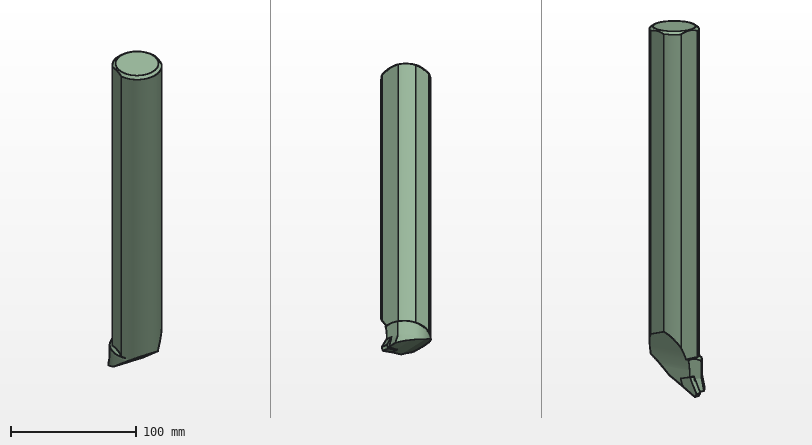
import cadquery as cq
import math


TOTAL_LENGTH = 301.2
SHANK_RADIUS = 20.0
SIDE_FLAT = 17.8
Y_FLAT = 18.5
END_CHAMFER_WIDTH = 2.7
END_CHAMFER_HEIGHT = 2.0

HEAD_RADIUS = 21.5
HEAD_OFFSET = -1.8
HEAD_SIDE_FLAT = -20.2
HEAD_TOP = 30.0
HEAD_CHAMFER = 2.7
HEAD_TAPER_WIDTH = 0.45
HEAD_TAPER_HEIGHT = 1.8
NOSE_TOP = 13.0
NOSE_LEAN = 0.3

RAKE_ANGLE = 10.0
RAKE_Y = 5.5
SCOOP_START = 29.2
SCOOP_ANGLE = 30.0
SCOOP_BLEND = 30.0

INSERT_THICKNESS = 5.0
TIP_REACH = 27.0
TIP_HEIGHT = 2.7
INSERT_TOP = (-20.8, 15.7)
INSERT_BOTTOM = (-26.0, 0.0)
INSERT_INNER_BOTTOM = (-13.5, 7.0)
INSERT_INNER_TOP = (-11.5, 13.3)

UNDERSIDE = [(-27.0, 1.0), (-13.0, 7.2), (0.0, 14.2), (12.0, 24.7), (SHANK_RADIUS, 31.5)]

CLEARANCE = 30.0

turn = math.radians(RAKE_ANGLE)
rake_plane = cq.Plane(
    origin=(0, RAKE_Y, 0),
    xDir=(math.cos(turn), math.sin(turn), 0),
    normal=(math.sin(turn), -math.cos(turn), 0),
)


def make_shank():
    end_radius = SHANK_RADIUS - END_CHAMFER_WIDTH
    bar = (
        cq.Workplane("XZ")
        .moveTo(0, 0)
        .lineTo(SHANK_RADIUS, 0)
        .lineTo(SHANK_RADIUS, TOTAL_LENGTH - END_CHAMFER_HEIGHT)
        .lineTo(end_radius, TOTAL_LENGTH)
        .lineTo(0, TOTAL_LENGTH)
        .close()
        .revolve(360, (0, 0, 0), (0, 1, 0))
    )
    envelope = (
        cq.Workplane("XY")
        .center((SHANK_RADIUS - SIDE_FLAT) / 2, 0)
        .rect(SHANK_RADIUS + SIDE_FLAT, 2 * Y_FLAT)
        .extrude(TOTAL_LENGTH)
    )
    return bar.intersect(envelope)


def head_outline():
    half_chord = math.sqrt(HEAD_RADIUS**2 - (HEAD_SIDE_FLAT - HEAD_OFFSET) ** 2)
    return (
        cq.Workplane("XY", origin=(0, 0, NOSE_TOP))
        .moveTo(HEAD_SIDE_FLAT, -half_chord)
        .threePointArc((HEAD_OFFSET + HEAD_RADIUS, 0), (HEAD_SIDE_FLAT, half_chord))
        .close()
    )


def make_collar():
    taper_radius = HEAD_RADIUS - HEAD_TAPER_WIDTH
    chamfer_z = HEAD_TOP - HEAD_CHAMFER
    turned = (
        cq.Workplane("XZ", origin=(HEAD_OFFSET, 0, 0))
        .moveTo(0, NOSE_TOP)
        .lineTo(HEAD_RADIUS, NOSE_TOP)
        .lineTo(HEAD_RADIUS, chamfer_z - HEAD_TAPER_HEIGHT)
        .lineTo(taper_radius, chamfer_z)
        .lineTo(taper_radius - HEAD_CHAMFER, HEAD_TOP)
        .lineTo(0, HEAD_TOP)
        .close()
        .revolve(360, (0, 0, 0), (0, 1, 0))
    )
    return turned.intersect(head_outline().extrude(HEAD_TOP - NOSE_TOP))


def make_head():
    collar = make_collar()
    lean = cq.Vector(-NOSE_LEAN * NOSE_TOP, 0, -NOSE_TOP)
    nose = cq.Solid.extrudeLinear(head_outline().wire().val(), [], lean)
    return collar.union(cq.Workplane(nose))


def make_underside_cut():
    return (
        cq.Workplane("XZ")
        .polyline([(-CLEARANCE, 0.0), *UNDERSIDE, (CLEARANCE, UNDERSIDE[-1][1]),
                   (CLEARANCE, -CLEARANCE), (-CLEARANCE, -CLEARANCE)])
        .close()
        .extrude(CLEARANCE, both=True)
    )


def make_scoop_cut():
    depth = 2 * CLEARANCE
    run_out = SCOOP_START + depth / math.tan(math.radians(SCOOP_ANGLE))
    scoop = (
        cq.Workplane("YZ")
        .polyline([(0, -CLEARANCE), (0, SCOOP_START), (depth, run_out), (depth, -CLEARANCE)])
        .close()
        .extrude(2 * CLEARANCE, both=True)
    )
    bend = cq.selectors.NearestToPointSelector((0, 0, SCOOP_START))
    scoop = scoop.edges("|X").edges(bend).fillet(SCOOP_BLEND)
    return scoop.rotate((0, 0, 0), (0, 0, 1), RAKE_ANGLE).translate((0, RAKE_Y, 0))


def make_insert():
    tip = (-TIP_REACH / math.cos(turn), TIP_HEIGHT)
    return (
        cq.Workplane(rake_plane)
        .polyline([INSERT_TOP, tip, INSERT_BOTTOM, INSERT_INNER_BOTTOM, INSERT_INNER_TOP])
        .close()
        .extrude(INSERT_THICKNESS)
    )


def make_holder(insert):
    holder = make_shank().union(make_head())
    holder = holder.cut(make_underside_cut())
    holder = holder.cut(make_scoop_cut())
    return holder.cut(insert).solids()


insert = make_insert()
holder = make_holder(insert)
result = cq.Compound.makeCompound([holder.val(), insert.val()])